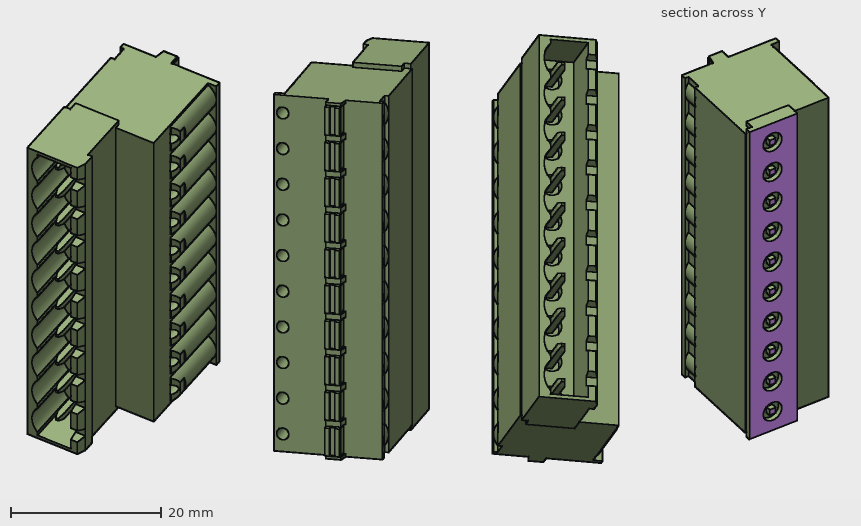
import cadquery as cq
import math


POLES = 10
OVERLAP = 0.15

BODY_HEIGHT = 49.95
PITCH = BODY_HEIGHT / POLES
BODY_RIGHT = 13.7
BODY_BACK = 25.05
BODY_FRONT = 10.15
SKIRT_FRONT = 9.55
SKIRT_DEPTH = 1.1

SHELL_HEIGHT = 51.3
SHELL_LEFT = 0.15
SHELL_RIGHT = 7.8
SHELL_BACK = 10.95
LEDGE_RIGHT = 8.45
LEDGE_DEPTH = 3.0
LEDGE_BEVEL_X = 0.5
LEDGE_BEVEL_Y = 1.25

CAVITY_HALF_HEIGHT = 25.15
CAVITY_LEFT = 1.75
CAVITY_RIGHT = 6.95
CAVITY_DEPTH = 8.0
PIN_X = 3.85
SCALLOP_RADIUS = 3.0
SOCKET_RADIUS = 1.45
SOCKET_DEPTH = 1.55

PIN_SIZE = 1.0
PIN_TIP_SIZE = 0.4
PIN_TIP_Y = 1.55
PIN_TAPER = 1.05

NOTCH_MOUTH = 2.05
NOTCH_FLOOR = 1.25
NOTCH_DEPTH = 1.25

CHANNEL_FRONT = 21.8
CHANNEL_BACK = 24.2
CHANNEL_DEPTH = 0.55
RIB_CHORD = 3.1

FLANGE_RIGHT = 15.0
FLANGE_FRONT = 24.15
TUBE_RADIUS = 2.45
TUBE_FRONT = 14.4
TUBE_STEP_Y = 16.3
TUBE_NOSE_RIGHT = 14.75
TUBE_NOSE_BEVEL = 0.85
BORE_X = 13.75
BORE_RADIUS = 0.8

RIDGE_LEFT = 5.05
RIDGE_RIGHT = 7.45
RIDGE_TOP_LEFT = 5.35
RIDGE_BACK = 26.6
LATCH_HEIGHT = 3.9
SLIT_WIDTH = 0.15
NUB_WIDTH = 0.6
NUB_SETBACK = 0.1
NUB_BACK = 27.0

pole_levels = [PITCH * (i - (POLES - 1) / 2) for i in range(POLES)]


def box(x, y, half_height, level=0):
    """Block between the two X values and the two Y values, centred on a Z level."""
    size = (x[1] - x[0], y[1] - y[0], 2 * half_height)
    return cq.Workplane("XY").box(*size).translate((sum(x) / 2, sum(y) / 2, level))


def prism(points, half_height):
    """Outline in X and Y extruded evenly to both sides of Z = 0."""
    return cq.Workplane("XY").polyline(points).close().extrude(half_height, both=True)


def cylinder(x, y, radius, level):
    """Cylinder along Y between the two Y values."""
    base = cq.Workplane("XZ", origin=(x, y[0], level))
    return base.circle(radius).extrude(y[0] - y[1])


def make_body():
    """Block with a thin skirt in front of its -X edge and a flange behind its +X edge."""
    body = box((0, BODY_RIGHT), (BODY_FRONT, BODY_BACK), BODY_HEIGHT / 2)
    skirt = box((0, SKIRT_DEPTH), (SKIRT_FRONT, BODY_FRONT + OVERLAP), BODY_HEIGHT / 2)
    flange = box((BODY_RIGHT - OVERLAP, FLANGE_RIGHT), (FLANGE_FRONT, BODY_BACK), BODY_HEIGHT / 2)
    return body.union(skirt).union(flange)


def cut_ribbed_channel(body):
    """Channel along the -X face, refilled at each pole by a round rib flush with the face."""
    channel_y = (CHANNEL_FRONT, CHANNEL_BACK)
    channel = box((0, CHANNEL_DEPTH), channel_y, BODY_HEIGHT / 2)
    rib_radius = ((RIB_CHORD / 2) ** 2 + CHANNEL_DEPTH ** 2) / (2 * CHANNEL_DEPTH)
    for level in pole_levels:
        channel = channel.cut(cylinder(rib_radius, channel_y, rib_radius, level))
    return body.cut(channel)


def add_tubes(body):
    """Tube with a stepped, bevelled nose on the +X face at each pole, bored from the back."""
    envelope = (
        cq.Workplane("XY")
        .moveTo(BODY_RIGHT - OVERLAP, TUBE_FRONT)
        .lineTo(TUBE_NOSE_RIGHT - TUBE_NOSE_BEVEL, TUBE_FRONT)
        .lineTo(TUBE_NOSE_RIGHT, TUBE_FRONT + TUBE_NOSE_BEVEL)
        .lineTo(TUBE_NOSE_RIGHT, TUBE_STEP_Y)
        .lineTo(FLANGE_RIGHT, TUBE_STEP_Y)
        .lineTo(FLANGE_RIGHT, FLANGE_FRONT + OVERLAP)
        .lineTo(BODY_RIGHT - OVERLAP, FLANGE_FRONT + OVERLAP)
        .close()
        .extrude(BODY_HEIGHT / 2, both=True)
    )
    tube_x = FLANGE_RIGHT - TUBE_RADIUS
    for level in pole_levels:
        tube = cylinder(tube_x, (TUBE_FRONT, FLANGE_FRONT + OVERLAP), TUBE_RADIUS, level)
        body = body.union(tube.intersect(envelope))
    for level in pole_levels:
        body = body.cut(cylinder(BORE_X, (TUBE_FRONT, BODY_BACK), BORE_RADIUS, level))
    return body


def make_latch_ridge():
    """Ridge with one sloping side; at each pole slits part off a latch, cut square and topped by two nubs."""
    ridge = prism(
        [
            (RIDGE_LEFT, BODY_BACK - OVERLAP),
            (RIDGE_LEFT, BODY_BACK),
            (RIDGE_TOP_LEFT, RIDGE_BACK),
            (RIDGE_RIGHT, RIDGE_BACK),
            (RIDGE_RIGHT, BODY_BACK - OVERLAP),
        ],
        BODY_HEIGHT / 2,
    )
    nub_y = (RIDGE_BACK - OVERLAP, NUB_BACK)
    half = LATCH_HEIGHT / 2
    for level in pole_levels:
        for side in (-1, 1):
            slit_level = level + side * (half + SLIT_WIDTH / 2)
            slit = box((RIDGE_LEFT, RIDGE_RIGHT), (BODY_BACK, RIDGE_BACK), SLIT_WIDTH / 2, slit_level)
            ridge = ridge.cut(slit)
        ridge = ridge.cut(box((RIDGE_LEFT, RIDGE_TOP_LEFT), (BODY_BACK, RIDGE_BACK), half, level))
        for nub_left in (RIDGE_TOP_LEFT + NUB_SETBACK, RIDGE_RIGHT - NUB_WIDTH):
            ridge = ridge.union(box((nub_left, nub_left + NUB_WIDTH), nub_y, half, level))
    return ridge


def make_shell():
    """Solid shell stepped around the skirt, with a bevelled ledge along its front +X edge."""
    outline = [
        (SHELL_LEFT, 0),
        (LEDGE_RIGHT - LEDGE_BEVEL_X, 0),
        (LEDGE_RIGHT, LEDGE_BEVEL_Y),
        (LEDGE_RIGHT, LEDGE_DEPTH),
        (SHELL_RIGHT, LEDGE_DEPTH),
        (SHELL_RIGHT, SHELL_BACK),
        (SKIRT_DEPTH, SHELL_BACK),
        (SKIRT_DEPTH, SKIRT_FRONT),
        (SHELL_LEFT, SKIRT_FRONT),
    ]
    return prism(outline, SHELL_HEIGHT / 2)


def make_cavity():
    """Space inside the shell: a plain pocket, scalloped around each pin, with round sockets in its floor."""
    cavity = box((CAVITY_LEFT, CAVITY_RIGHT), (0, CAVITY_DEPTH), CAVITY_HALF_HEIGHT)
    for level in pole_levels:
        cavity = cavity.union(cylinder(PIN_X, (0, CAVITY_DEPTH), SCALLOP_RADIUS, level))
    cavity = cavity.intersect(box((0, CAVITY_RIGHT), (0, CAVITY_DEPTH), CAVITY_HALF_HEIGHT))
    for level in pole_levels:
        socket_y = (CAVITY_DEPTH - OVERLAP, CAVITY_DEPTH + SOCKET_DEPTH)
        cavity = cavity.union(cylinder(PIN_X, socket_y, SOCKET_RADIUS, level))
    return cavity


def make_notch(level):
    """Notch through the ledge whose upper and lower sides close in towards its floor."""
    return (
        cq.Workplane("YZ", origin=(CAVITY_RIGHT, 0, level))
        .moveTo(0, -NOTCH_MOUTH / 2)
        .lineTo(NOTCH_DEPTH, -NOTCH_FLOOR / 2)
        .lineTo(NOTCH_DEPTH, NOTCH_FLOOR / 2)
        .lineTo(0, NOTCH_MOUTH / 2)
        .close()
        .extrude(LEDGE_RIGHT - CAVITY_RIGHT)
    )


def make_pin(level):
    """Square pin along Y with a tapered tip, rooted in the floor of its socket."""
    taper_end = PIN_TIP_Y + PIN_TAPER
    root = CAVITY_DEPTH + SOCKET_DEPTH + OVERLAP
    half = PIN_SIZE / 2
    shank = box((PIN_X - half, PIN_X + half), (taper_end, root), half, level)
    taper_angle = math.degrees(math.atan((PIN_SIZE - PIN_TIP_SIZE) / 2 / PIN_TAPER))
    tip = (
        cq.Workplane("XZ", origin=(PIN_X, taper_end, level))
        .rect(PIN_SIZE, PIN_SIZE)
        .extrude(PIN_TAPER, taper=taper_angle)
    )
    return shank.union(tip)


body = add_tubes(cut_ribbed_channel(make_body()))
result = body.union(make_latch_ridge()).union(make_shell()).cut(make_cavity())
for level in pole_levels:
    result = result.cut(make_notch(level)).union(make_pin(level))